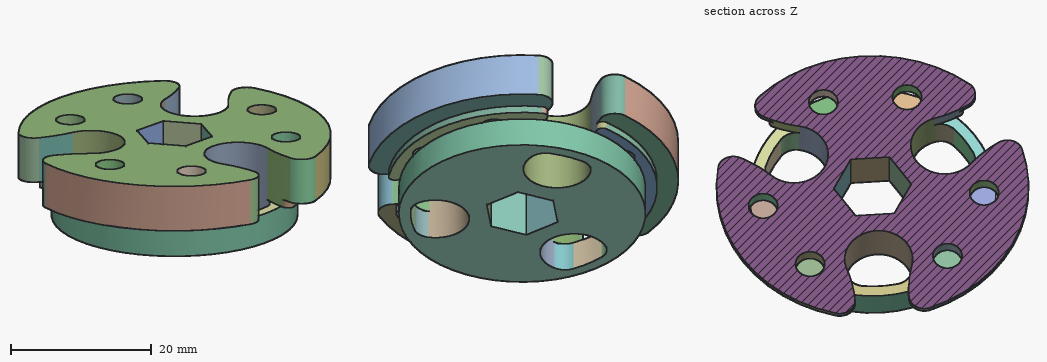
import cadquery as cq
import math

base_height = 4.45
flange_height = 1.1
plate_height = 6.7
flange_top = base_height + flange_height

base_radius = 35.0 / 2
flange_radius = 19.15
plate_radius = 22.2

slot_count = 3
slot_pitch = 360 / slot_count
slot_center = 12.4
slot_radius = 4.8
neck_radius = 17.75
throat_half_width = 3.8
tip_radius = 2.2
slot_reach = 26.65
flange_corner_radius = 0.9

window_outer_radius = 15.85
window_corner_radius = 2.6

pin_diameter = 4.1
pin_circle_radius = 15.9
pin_half_angle = 22.0
hex_across_flats = 9.5


def disc(radius, bottom, height):
    return cq.Workplane("XY").workplane(offset=bottom).circle(radius).extrude(height)


def around_axis(shape):
    """Combine copies of a shape at every slot position."""
    copies = shape
    for index in range(1, slot_count):
        copies = copies.union(shape.rotate((0, 0, 0), (0, 0, 1), index * slot_pitch))
    return copies


def slot_cutter(bottom, height):
    """Slot with curved flanks that continues straight outwards from its narrowest point."""
    neck_y = throat_half_width + neck_radius
    neck_x = slot_center + math.sqrt((slot_radius + neck_radius) ** 2 - neck_y**2)
    share = slot_radius / (slot_radius + neck_radius)
    join_x = slot_center + share * (neck_x - slot_center)
    join_y = share * neck_y
    join_angle = math.atan2(join_y - neck_y, join_x - neck_x)
    middle_angle = (join_angle - math.pi / 2) / 2
    middle_x = neck_x + neck_radius * math.cos(middle_angle)
    middle_y = neck_y + neck_radius * math.sin(middle_angle)
    return (
        cq.Workplane("XY").workplane(offset=bottom)
        .moveTo(slot_reach, throat_half_width)
        .lineTo(neck_x, throat_half_width)
        .threePointArc((middle_x, middle_y), (join_x, join_y))
        .threePointArc((slot_center - slot_radius, 0), (join_x, -join_y))
        .threePointArc((middle_x, -middle_y), (neck_x, -throat_half_width))
        .lineTo(slot_reach, -throat_half_width)
        .close()
        .extrude(height)
    )


def slotted_disc(radius, bottom, height, corner_radius):
    """Disc cut into lobes, with the lobe corners at the rim rounded."""
    lobes = disc(radius, bottom, height).cut(around_axis(slot_cutter(bottom, height)))
    corner_zone = radius - corner_radius
    corners = lobes.edges("|Z").filter(
        lambda edge: math.hypot(edge.Center().x, edge.Center().y) > corner_zone
    )
    return corners.fillet(corner_radius)


def base_windows():
    window = (
        cq.Workplane("XY").center(slot_center, 0).circle(slot_radius).extrude(base_height)
        .intersect(disc(window_outer_radius, 0, base_height))
        .edges("|Z").edges(">X").fillet(window_corner_radius)
    )
    return around_axis(window)


def pin_holes():
    """Holes that stop on top of the base, a pair on each lobe."""
    lobe_angle = slot_pitch / 2
    centers = []
    for angle in (lobe_angle - pin_half_angle, lobe_angle + pin_half_angle):
        direction = math.radians(angle)
        x = pin_circle_radius * math.cos(direction)
        y = pin_circle_radius * math.sin(direction)
        centers.append((x, y))
    pair = (
        cq.Workplane("XY").workplane(offset=base_height)
        .pushPoints(centers)
        .circle(pin_diameter / 2)
        .extrude(flange_height + plate_height)
    )
    return around_axis(pair)


def hex_bore():
    """Through bore with two corners on the Y axis."""
    across_corners = hex_across_flats / math.cos(math.pi / 6)
    bore = cq.Workplane("XY").polygon(6, across_corners).extrude(flange_top + plate_height)
    return bore.rotate((0, 0, 0), (0, 0, 1), 30)


base = disc(base_radius, 0, base_height).cut(base_windows())
flange = slotted_disc(flange_radius, base_height, flange_height, flange_corner_radius)
plate = slotted_disc(plate_radius, flange_top, plate_height, tip_radius)
result = base.union(flange).union(plate).cut(pin_holes()).cut(hex_bore())